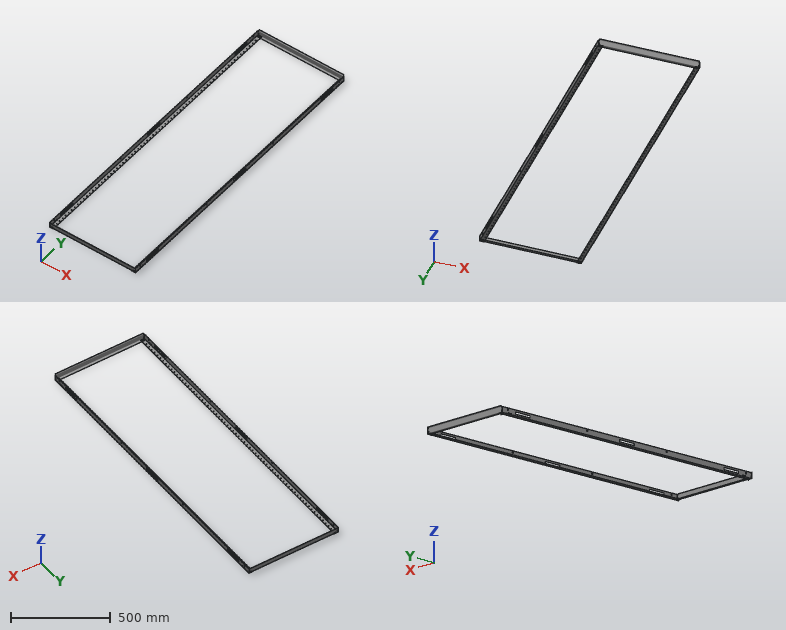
import cadquery as cq
import math

FRAME_LENGTH = 1740.0
FRAME_WIDTH = 543.0
FRAME_HEIGHT = 44.0
SHEET = 1.2

SIDE_LENGTH = 1728.0
SIDE_BOTTOM = 7.8
SIDE_HEIGHT = 31.0
SIDE_FLANGE = 25.0

ROW_COUNT = 67
ROW_SPAN = 1650.0
ROW_DIAMETER = 3.1
ROW_INSET = 15.0

SLOT_COUNT = 3
SLOT_LENGTH = 100.0
SLOT_HEIGHT = 10.8
SLOT_SPACING = 722.0
SLOT_Z = 23.0
WEB_HOLE_COUNT = 4
WEB_HOLE_DIAMETER = 6.5
WEB_HOLE_SPACING = 550.0
WEB_HOLE_Z = 30.0

NOTCH_COUNT = 2
NOTCH_WIDTH = 6.1
NOTCH_TOP = 14.0
NOTCH_SPACING = 14.8
NOTCH_Y = 811.0

END_FLANGE = 14.0
LOWER_WIDTH = 530.0
EAR_WIDTH = 540.0
EAR_BOTTOM = 21.0
LIP_WIDTH = 535.0
LIP_ANGLE = 45
BEND_RADIUS = 2.0

SCREW_DIAMETER = 4.5
SCREW_POINT_LENGTH = 5.0
SCREW_HEAD_DIAMETER = 7.7
SCREW_HEAD_HEIGHT = 0.9
SCREW_INSET = 16.5
SCREW_Y = 856.0

SIDE_X = FRAME_WIDTH / 2
SCREW_X = SIDE_X - SCREW_INSET
WEB_Y = SIDE_LENGTH / 2
LIP_Y = FRAME_LENGTH / 2
SIDE_TOP = SIDE_BOTTOM + SIDE_HEIGHT
SEAT_Z = SIDE_BOTTOM + SHEET
HEAD_Z = SEAT_Z + SHEET
ENDS = (-1, 1)


def centred_row(count, pitch):
    """Positions of equally spaced features, symmetric about zero."""
    return [(i - (count - 1) / 2) * pitch for i in range(count)]


def screw_hole(x, y):
    """Vertical cutter that clears a screw shank."""
    return cq.Workplane("XY").center(x, y).circle(SCREW_DIAMETER / 2).extrude(FRAME_HEIGHT)



def side_profile():
    """L-shaped bar on the +X side."""
    outline = [
        (SIDE_X, SIDE_BOTTOM),
        (SIDE_X, SIDE_TOP),
        (SIDE_X - SHEET, SIDE_TOP),
        (SIDE_X - SHEET, SEAT_Z),
        (SIDE_X - SIDE_FLANGE, SEAT_Z),
        (SIDE_X - SIDE_FLANGE, SIDE_BOTTOM),
    ]
    return cq.Workplane("XZ").polyline(outline).close().extrude(SIDE_LENGTH / 2, both=True)


def flange_holes():
    """Cutter for the row of holes in the flange."""
    pitch = ROW_SPAN / (ROW_COUNT - 1)
    centres = [(SIDE_X - ROW_INSET, y) for y in centred_row(ROW_COUNT, pitch)]
    return cq.Workplane("XY").pushPoints(centres).circle(ROW_DIAMETER / 2).extrude(SEAT_Z)


def web_points(centres):
    """Centres for cutters through the web, on the inner face of the web."""
    return cq.Workplane("YZ").workplane(offset=SIDE_X - SHEET).pushPoints(centres)


def web_slots():
    centres = [(y, SLOT_Z) for y in centred_row(SLOT_COUNT, SLOT_SPACING)]
    return web_points(centres).rect(SLOT_LENGTH, SLOT_HEIGHT).extrude(SHEET)


def web_holes():
    centres = [(y, WEB_HOLE_Z) for y in centred_row(WEB_HOLE_COUNT, WEB_HOLE_SPACING)]
    return web_points(centres).circle(WEB_HOLE_DIAMETER / 2).extrude(SHEET)


def web_notches():
    """Cutter for the notches; it starts below the web and so opens its bottom edge."""
    offsets = centred_row(NOTCH_COUNT, NOTCH_SPACING)
    centres = [(end * NOTCH_Y + offset, NOTCH_TOP / 2) for end in ENDS for offset in offsets]
    return web_points(centres).rect(NOTCH_WIDTH, NOTCH_TOP).extrude(SHEET)


def make_side_rail():
    """Side rail on the +X side."""
    rail = side_profile().cut(flange_holes())
    rail = rail.cut(web_slots()).cut(web_holes()).cut(web_notches())
    for end in ENDS:
        rail = rail.cut(screw_hole(SCREW_X, end * SCREW_Y))
    return rail



def round_fold(rail, y, z, radius):
    """Round the edge along X that passes through (y, z)."""
    reach = SHEET / 4
    near = cq.selectors.BoxSelector((-FRAME_WIDTH, y - reach, z - reach), (FRAME_WIDTH, y + reach, z + reach))
    return rail.edges("|X").edges(near).fillet(radius)


def trim_ends(rail, width, bottom, top):
    """Shorten the part of a +Y end rail between two heights to the given width."""
    excess = (EAR_WIDTH - width) / 2
    depth = LIP_Y - WEB_Y + END_FLANGE
    for side in ENDS:
        cutter = cq.Workplane("XY").box(excess, depth, top - bottom)
        middle = ((width + excess) / 2 * side, LIP_Y - depth / 2, (bottom + top) / 2)
        rail = rail.cut(cutter.translate(middle))
    return rail


def make_end_rail():
    """End rail on the +Y side, folded from one sheet."""
    slope = math.radians(LIP_ANGLE)
    edge_run = SHEET * math.sin(slope)
    edge_rise = SHEET * math.cos(slope)
    lip_rise = (LIP_Y - WEB_Y) * math.tan(slope)
    outer_fold_z = FRAME_HEIGHT - edge_rise - lip_rise
    inner_fold_z = outer_fold_z + SHEET * math.tan(slope / 2)

    outline = [
        (WEB_Y - END_FLANGE, SEAT_Z),
        (WEB_Y, SEAT_Z),
        (WEB_Y, outer_fold_z),
        (LIP_Y, FRAME_HEIGHT - edge_rise),
        (LIP_Y - edge_run, FRAME_HEIGHT),
        (WEB_Y - SHEET, inner_fold_z),
        (WEB_Y - SHEET, HEAD_Z),
        (WEB_Y - END_FLANGE, HEAD_Z),
    ]
    rail = cq.Workplane("YZ").polyline(outline).close().extrude(EAR_WIDTH / 2, both=True)

    inside_radius = BEND_RADIUS - SHEET
    rail = round_fold(rail, WEB_Y, SEAT_Z, BEND_RADIUS)
    rail = round_fold(rail, WEB_Y - SHEET, HEAD_Z, inside_radius)
    rail = round_fold(rail, WEB_Y, outer_fold_z, inside_radius)
    rail = round_fold(rail, WEB_Y - SHEET, inner_fold_z, BEND_RADIUS)

    rail = trim_ends(rail, LOWER_WIDTH, 0, EAR_BOTTOM)
    rail = trim_ends(rail, LIP_WIDTH, outer_fold_z - inside_radius, FRAME_HEIGHT)
    for side in ENDS:
        rail = rail.cut(screw_hole(side * SCREW_X, SCREW_Y))
    return rail



def make_screw(x, y):
    """Screw with a flat round head above and a conical point below."""
    shank_radius = SCREW_DIAMETER / 2
    head_radius = SCREW_HEAD_DIAMETER / 2
    head_top = HEAD_Z + SCREW_HEAD_HEIGHT
    half_section = [
        (0, 0),
        (shank_radius, SCREW_POINT_LENGTH),
        (shank_radius, HEAD_Z),
        (head_radius, HEAD_Z),
        (head_radius, head_top),
        (0, head_top),
    ]
    screw = cq.Workplane("XZ").polyline(half_section).close().revolve(360, (0, 0), (0, 1))
    return screw.translate((x, y, 0))



right_side_rail = make_side_rail()
side_rails = [right_side_rail, right_side_rail.mirror("YZ")]

back_end_rail = make_end_rail()
end_rails = [back_end_rail, back_end_rail.mirror("XZ")]

screws = [make_screw(side * SCREW_X, end * SCREW_Y) for side in ENDS for end in ENDS]

result = cq.Compound.makeCompound([body.val() for body in side_rails + end_rails + screws])